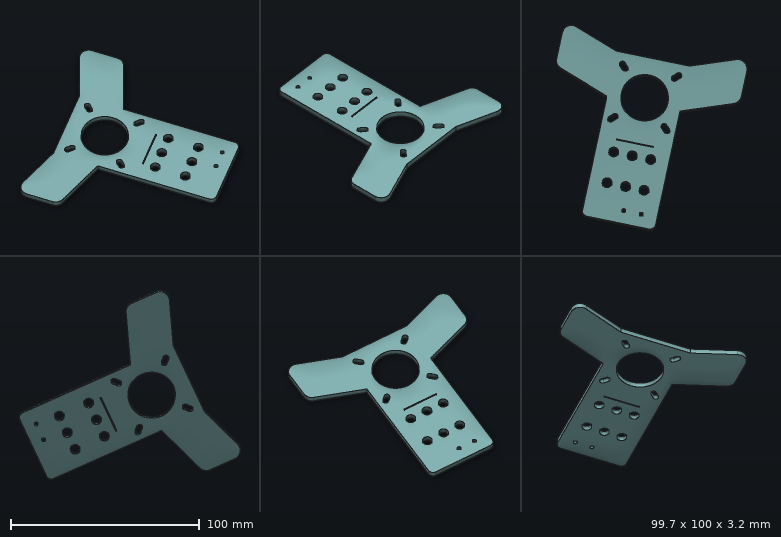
import cadquery as cq
import math

thickness = 3.2
total_width = 100.0
total_length = 99.7

body_width = 39.6
body_left = -21.7
body_corner_radius = 3.0
arm_width = 25.0
arm_angle = 20.0
arm_tip_radius = 5.0

bore_diameter = 25.0
slot_spacing = 28.5
slot_ring_x = -0.2
slot_width = 3.0
slot_length = 5.8
slot_directions = (45, 135, 225, 315)

slit_x = 25.2
slit_width = 0.5
slit_length = 20.0

grid_x = 32.1
grid_pitch_x = 17.0
grid_pitch_y = 10.0
grid_columns = 2
grid_rows = 3
grid_hole_diameter = 5.1

small_hole_x = 62.1
small_hole_low_y = 1.7
small_hole_pitch = 9.5
small_hole_diameter = 2.0

half_width = total_width / 2
half_body = body_width / 2
lean = math.tan(math.radians(arm_angle))
arm_shift = (half_width - half_body) * lean
arm_right = body_left + arm_width
tip_center_x = (
    body_left
    - (half_width - arm_tip_radius - half_body) * lean
    + arm_tip_radius / math.cos(math.radians(arm_angle))
)
body_right = tip_center_x - arm_tip_radius + total_length


def make_body():
    length = body_right - body_left
    return (
        cq.Workplane("XY")
        .center(body_left + length / 2, 0)
        .rect(length, body_width)
        .extrude(thickness)
        .edges("|Z and >X")
        .fillet(body_corner_radius)
    )


def make_arm():
    """Arm on the +Y side, reaching down to the centre line where it merges with the body."""
    return (
        cq.Workplane("XY")
        .moveTo(body_left, 0)
        .lineTo(body_left, half_body)
        .lineTo(body_left - arm_shift, half_width)
        .lineTo(arm_right - arm_shift, half_width)
        .lineTo(arm_right, half_body)
        .lineTo(arm_right, 0)
        .close()
        .extrude(thickness)
        .edges("|Z and >Y")
        .fillet(arm_tip_radius)
    )


def make_mounting_slots():
    """Slots pointing away from the ring centre, placed on the corners of a square."""
    radial_distance = slot_spacing / math.sqrt(2)
    slot = (
        cq.Workplane("XY")
        .center(radial_distance, 0)
        .slot2D(slot_length, slot_width)
        .extrude(thickness)
    )
    slots = cq.Workplane("XY")
    for direction in slot_directions:
        slots = slots.add(slot.rotate((0, 0, 0), (0, 0, 1), direction))
    return slots.combine().translate((slot_ring_x, 0, 0))


def make_round_holes():
    bore = cq.Workplane("XY").circle(bore_diameter / 2).extrude(thickness)
    grid = (
        cq.Workplane("XY")
        .center(grid_x + grid_pitch_x * (grid_columns - 1) / 2, 0)
        .rarray(grid_pitch_x, grid_pitch_y, grid_columns, grid_rows)
        .circle(grid_hole_diameter / 2)
        .extrude(thickness)
    )
    small_hole_high_y = small_hole_low_y + small_hole_pitch
    small_holes = (
        cq.Workplane("XY")
        .pushPoints([(small_hole_x, small_hole_low_y), (small_hole_x, small_hole_high_y)])
        .circle(small_hole_diameter / 2)
        .extrude(thickness)
    )
    return bore.add(grid).add(small_holes).combine()


def make_slit():
    return cq.Workplane("XY").center(slit_x, 0).rect(slit_width, slit_length).extrude(thickness)


arm = make_arm()
plate = make_body().union(arm).union(arm.mirror("XZ")).clean()
result = plate.cut(make_round_holes()).cut(make_mounting_slots()).cut(make_slit())